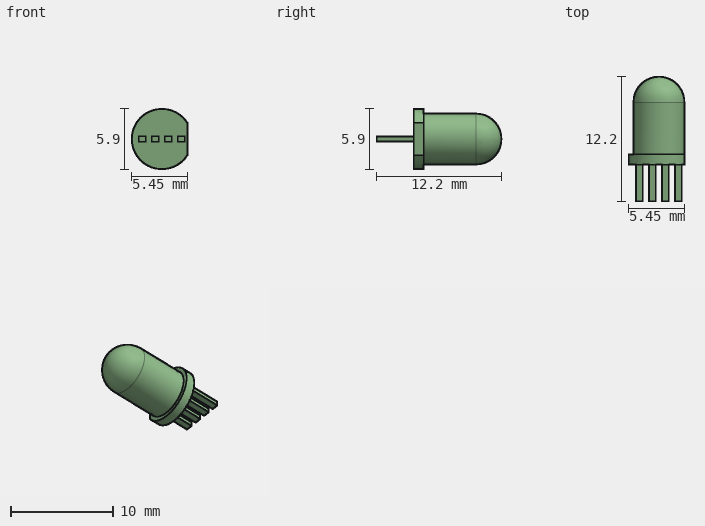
import cadquery as cq

total_length = 12.2

body_diameter = 5.0
body_radius = body_diameter / 2

flange_diameter = 5.9
flange_thickness = 1.0

lead_count = 4
lead_pitch = 1.27
lead_width = 0.7
lead_height = 0.5
lead_length = 3.6

dome_start = total_length - lead_length - body_radius


def make_body():
    """Cylinder and dome, revolved about the Y axis."""
    dome_top = dome_start + body_radius
    return (
        cq.Workplane("XY")
        .lineTo(body_radius, 0)
        .lineTo(body_radius, dome_start)
        .radiusArc((0, dome_top), -body_radius)
        .close()
        .revolve(360, (0, 0), (0, 1))
    )


def make_flange():
    """Disc trimmed on its +X side by a flat."""
    disc = cq.Workplane("XZ").circle(flange_diameter / 2).extrude(-flange_thickness)
    trim = cq.Workplane("XY").box(
        flange_diameter, flange_thickness, flange_diameter, centered=(False, False, True)
    )
    return disc.cut(trim.translate((body_radius, 0, 0)))


def make_leads():
    """Evenly spaced bars pointing along -Y."""
    return (
        cq.Workplane("XZ")
        .rarray(lead_pitch, 0.12, lead_count, 1)
        .rect(lead_width, lead_height)
        .extrude(lead_length)
    )


result = make_body().union(make_flange()).union(make_leads())